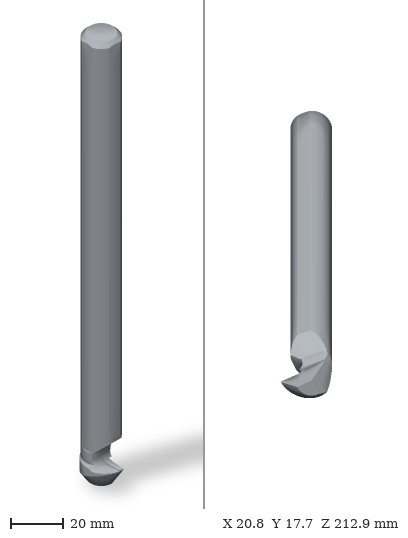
import cadquery as cq
import math

TOTAL_LENGTH = 212.9
SHANK_RADIUS = 8.0
FLAT_OFFSET = 7.51
TOP_CHAMFER = 2.0
SHANK_BOTTOM_Z = 16.5

RELIEF_TOP_Z = 27.9
RELIEF_NECK_Y = 2.5
RELIEF_FOOT_Y = 1.7

GULLET_WALL_X = 2.8
GULLET_RADIUS = 2.8
GULLET_LEAD_TOP_Z = 21.0
GULLET_LEAD_INNER_X = 4.0
GULLET_LEAD_BOTTOM_Z = GULLET_LEAD_TOP_Z - (FLAT_OFFSET - GULLET_LEAD_INNER_X)

HEAD_TOP_Z = 11.3
HEAD_AXIS_X = 2.66
HEAD_RADIUS = 10.2
TIP_X = HEAD_AXIS_X + HEAD_RADIUS
CONE_BOTTOM_RADIUS = 5.7
CONE_SLOPE = 0.66
BACK_FACE_Y = 0.6
BACK_FACE_TILT = 5.0
RAKE_LOW_X = 7.0
RAKE_LOW_Z = 10.9
LAND_FRONT_Y = -2.3
LAND_HEIGHT = 0.5

HEEL_TOP_Z = 14.0
HEEL_BOTTOM_X = -0.5

MARGIN = 21.3


def extrude_along_y(sketch):
    """Extrude an XZ outline through the whole part."""
    return sketch.close().extrude(MARGIN, both=True)


def make_round_bar(bottom, top):
    return cq.Workplane("XY").workplane(offset=bottom).circle(SHANK_RADIUS).extrude(top - bottom)


def make_back_relief():
    """Solid removed behind the sloping back of the shank and neck."""
    return (
        cq.Workplane("YZ")
        .moveTo(FLAT_OFFSET, RELIEF_TOP_Z)
        .lineTo(RELIEF_NECK_Y, SHANK_BOTTOM_Z)
        .lineTo(RELIEF_FOOT_Y, HEAD_TOP_Z)
        .lineTo(RELIEF_FOOT_Y, -MARGIN)
        .lineTo(MARGIN, -MARGIN)
        .lineTo(MARGIN, RELIEF_TOP_Z)
        .close()
        .extrude(MARGIN, both=True)
    )


def make_gullet():
    """Chip space with a 45 degree lead, a straight wall, a round root and a rising rake face."""
    root_x = GULLET_WALL_X + GULLET_RADIUS
    root_z = RAKE_LOW_Z + GULLET_RADIUS
    arc_reach = GULLET_RADIUS * math.sqrt(0.5)
    return extrude_along_y(
        cq.Workplane("XZ")
        .moveTo(FLAT_OFFSET, GULLET_LEAD_TOP_Z)
        .lineTo(GULLET_LEAD_INNER_X, GULLET_LEAD_BOTTOM_Z)
        .lineTo(GULLET_WALL_X, SHANK_BOTTOM_Z)
        .lineTo(GULLET_WALL_X, root_z)
        .threePointArc((root_x - arc_reach, root_z - arc_reach), (root_x, RAKE_LOW_Z))
        .lineTo(RAKE_LOW_X, RAKE_LOW_Z)
        .lineTo(TIP_X, HEAD_TOP_Z)
        .lineTo(MARGIN, HEAD_TOP_Z)
        .lineTo(MARGIN, GULLET_LEAD_TOP_Z)
    )


def make_shank():
    bar = make_round_bar(SHANK_BOTTOM_Z, TOTAL_LENGTH).faces(">Z").chamfer(TOP_CHAMFER)
    flats = cq.Workplane("XY").box(
        SHANK_RADIUS + FLAT_OFFSET, 2 * FLAT_OFFSET, TOTAL_LENGTH, centered=(False, True, False)
    ).translate((-SHANK_RADIUS, 0, 0))
    return bar.intersect(flats).cut(make_back_relief()).cut(make_gullet())


def make_cutting_disc():
    """Eccentric disc, coned below about the shank axis and cut off by the back face."""
    disc = cq.Workplane("XY").center(HEAD_AXIS_X, 0).circle(HEAD_RADIUS).extrude(HEAD_TOP_Z)
    cone = (
        cq.Workplane("XZ")
        .lineTo(CONE_BOTTOM_RADIUS, 0)
        .lineTo(CONE_BOTTOM_RADIUS + CONE_SLOPE * HEAD_TOP_Z, HEAD_TOP_Z)
        .lineTo(0, HEAD_TOP_Z)
        .close()
        .revolve(360, (0, 0, 0), (0, 1, 0))
    )
    behind = (
        cq.Workplane("XY")
        .box(4 * MARGIN, 2 * MARGIN, 2 * MARGIN, centered=(True, False, True))
        .rotate((0, 0, 0), (0, 0, 1), -BACK_FACE_TILT)
        .translate((0, BACK_FACE_Y, 0))
    )
    return disc.intersect(cone).cut(behind)


def make_heel_relief():
    """Wedge removed below the sloping heel."""
    return extrude_along_y(
        cq.Workplane("XZ")
        .moveTo(-SHANK_RADIUS, HEEL_TOP_Z)
        .lineTo(HEEL_BOTTOM_X, 0)
        .lineTo(-MARGIN, 0)
        .lineTo(-MARGIN, HEEL_TOP_Z)
    )


def make_land_step():
    """Deeper part of the gullet in front of the raised land along the cutting edge."""
    front = cq.Workplane("XY").box(
        2 * MARGIN, MARGIN, 2 * MARGIN, centered=(True, False, True)
    ).translate((0, LAND_FRONT_Y - MARGIN, 0))
    return make_gullet().translate((0, 0, -LAND_HEIGHT)).intersect(front)


def make_head():
    neck = make_round_bar(HEAD_TOP_Z, SHANK_BOTTOM_Z).cut(make_back_relief())
    blank = neck.union(make_cutting_disc())
    return blank.cut(make_gullet()).cut(make_land_step()).cut(make_heel_relief())


shank = make_shank()
head = make_head()

result = cq.Compound.makeCompound([shank.val(), head.val()])